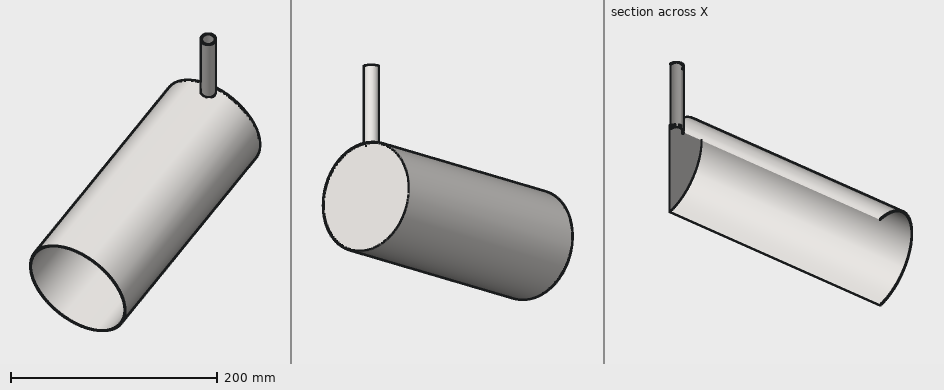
import cadquery as cq

cup_length = 250.0
cup_diameter = 109.0
wall = 1.2
closed_edge_radius = 1.0

pipe_diameter = 15.0
pipe_wall = 1.2
pipe_rise = 77.5
pipe_depth = 3.5

cup_radius = cup_diameter / 2
pipe_length = pipe_rise + pipe_depth
pipe_y = cup_length - wall - pipe_diameter / 2
pipe_bottom_z = cup_radius - pipe_depth


def upright_cylinder(diameter):
    """Cylinder on the pipe axis, as long as the pipe."""
    return (
        cq.Workplane("XY", origin=(0, pipe_y, pipe_bottom_z))
        .circle(diameter / 2)
        .extrude(pipe_length)
    )


def make_cup():
    """Can with a rounded closed end and a hole that fits the pipe."""
    can = cq.Workplane("XZ").circle(cup_radius).extrude(-cup_length)
    can = can.faces(">Y").edges().fillet(closed_edge_radius)
    cavity = cq.Workplane("XZ").circle(cup_radius - wall).extrude(-(cup_length - wall))
    return can.cut(cavity).cut(upright_cylinder(pipe_diameter))


def make_pipe():
    """Tube with an open bore from end to end."""
    bore_diameter = pipe_diameter - 2 * pipe_wall
    return upright_cylinder(pipe_diameter).cut(upright_cylinder(bore_diameter))


cup = make_cup()
pipe = make_pipe()

result = cq.Compound.makeCompound([cup.val(), pipe.val()])